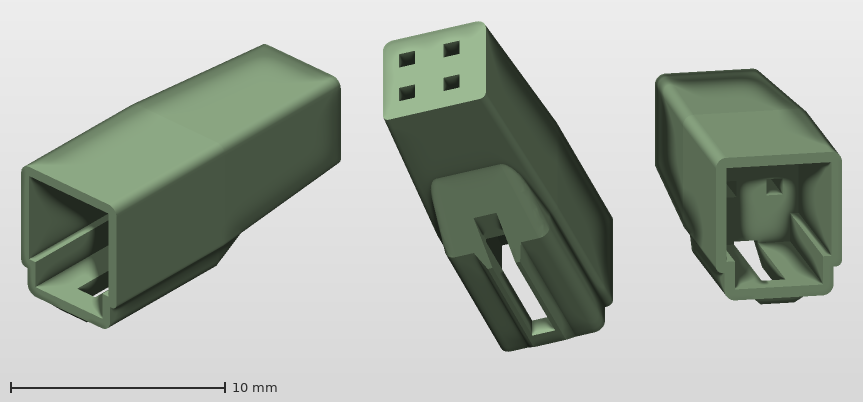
import cadquery as cq
import math

LENGTH = 16.05
STRAIGHT_LENGTH = 7.51
WALL = 0.5
FLOOR_WALL = 0.53

BODY_WIDTH = 6.0
BODY_HEIGHT = 5.57
TOP_RADIUS = WALL
BOTTOM_RADIUS = 0.3
CABLE_END_WIDTH = 5.1
CABLE_END_TOP_DROP = 0.4
CABLE_END_BOTTOM_RISE = 0.5

KEEL_WIDTH = 5.2
KEEL_BOTTOM = -6.93
KEEL_RADIUS = FLOOR_WALL
KEEL_OVERLAP = 3.21
TAIL_LENGTH = 4.82
TAIL_SLOPE = 22.0
TAIL_RISE = TAIL_LENGTH * math.tan(math.radians(TAIL_SLOPE))
TAIL_SIDE_DRAFT = 7.0

PAD_HEIGHT = 0.37
PAD_ROOT_WIDTH = 2.35
PAD_BOTTOM = KEEL_BOTTOM - PAD_HEIGHT

SLOT_WIDTH = 1.14
SLOT_START = 1.2
SLOT_TOP = -6.26

HOLE_SIZE = 0.79
HOLE_PITCH_X = 2.2
HOLE_PITCH_Z = 2.0
HOLE_GROUP_X = 0.25
HOLE_GROUP_Z = -2.71


def section(y, width, bottom, top, bottom_radius, top_radius):
    """Closed cross-section at y, centred on X, with rounded corners (a zero radius is sharp)."""
    half = width / 2
    diagonal = 1 - math.sqrt(0.5)
    low = bottom_radius * diagonal
    high = top_radius * diagonal
    outline = cq.Workplane(cq.Plane((0, y, 0), (1, 0, 0), (0, -1, 0)))
    outline = (
        outline.moveTo(bottom_radius - half, bottom)
        .lineTo(half - bottom_radius, bottom)
        .threePointArc((half - low, bottom + low), (half, bottom + bottom_radius))
        .lineTo(half, top - top_radius)
    )
    if top_radius > 0:
        outline = outline.threePointArc((half - high, top - high), (half - top_radius, top))
    outline = outline.lineTo(top_radius - half, top)
    if top_radius > 0:
        outline = outline.threePointArc((high - half, top - high), (-half, top - top_radius))
    outline = outline.lineTo(-half, bottom + bottom_radius)
    outline = outline.threePointArc((low - half, bottom + low), (bottom_radius - half, bottom))
    return outline.close().wire().val()


def join_sections(first, second):
    """Solid with straight sides between two cross-sections."""
    return cq.Workplane(cq.Solid.makeLoft([first, second], True))


def box(width, y_start, y_end, bottom, top, x=0.0):
    """Box centred on x in X, between the given Y and Z limits."""
    return (
        cq.Workplane()
        .box(width, y_end - y_start, top - bottom, centered=(True, False, False))
        .translate((x, y_start, bottom))
    )


def make_body():
    def body_section(y, width, bottom, top):
        return section(y, width, bottom, top, BOTTOM_RADIUS, TOP_RADIUS)

    mating_end = body_section(0, BODY_WIDTH, -BODY_HEIGHT, 0)
    taper_start = body_section(STRAIGHT_LENGTH, BODY_WIDTH, -BODY_HEIGHT, 0)
    cable_end = body_section(
        LENGTH, CABLE_END_WIDTH, CABLE_END_BOTTOM_RISE - BODY_HEIGHT, -CABLE_END_TOP_DROP
    )
    return join_sections(mating_end, taper_start).union(join_sections(taper_start, cable_end))


def make_keel():
    def keel_section(y, width, bottom):
        return section(y, width, bottom, bottom + KEEL_OVERLAP, KEEL_RADIUS, 0)

    tail_width = KEEL_WIDTH - 2 * TAIL_LENGTH * math.tan(math.radians(TAIL_SIDE_DRAFT))
    mating_end = keel_section(0, KEEL_WIDTH, KEEL_BOTTOM)
    tail_start = keel_section(STRAIGHT_LENGTH, KEEL_WIDTH, KEEL_BOTTOM)
    tail_end = keel_section(STRAIGHT_LENGTH + TAIL_LENGTH, tail_width, KEEL_BOTTOM + TAIL_RISE)
    return join_sections(mating_end, tail_start).union(join_sections(tail_start, tail_end))


def make_latch_pad():
    """Pad with 45 degree front and sides, and a rear ramp in line with the keel tail."""
    ramp_length = PAD_HEIGHT * TAIL_LENGTH / TAIL_RISE
    root = KEEL_BOTTOM + FLOOR_WALL / 2
    half_root = PAD_ROOT_WIDTH / 2
    half_bottom = half_root - PAD_HEIGHT
    side_profile = (
        cq.Workplane("YZ")
        .polyline([
            (0, root),
            (0, KEEL_BOTTOM),
            (PAD_HEIGHT, PAD_BOTTOM),
            (STRAIGHT_LENGTH - ramp_length, PAD_BOTTOM),
            (STRAIGHT_LENGTH, KEEL_BOTTOM),
            (STRAIGHT_LENGTH, root),
        ])
        .close()
        .extrude(half_root, both=True)
    )
    cross_profile = (
        cq.Workplane("XZ")
        .polyline([
            (-half_root, root),
            (-half_root, KEEL_BOTTOM),
            (-half_bottom, PAD_BOTTOM),
            (half_bottom, PAD_BOTTOM),
            (half_root, KEEL_BOTTOM),
            (half_root, root),
        ])
        .close()
        .extrude(-STRAIGHT_LENGTH)
    )
    return side_profile.intersect(cross_profile)


def make_cavity():
    """Stepped mating cavity, closed where the body starts to taper."""
    ledge = FLOOR_WALL - BODY_HEIGHT
    upper = box(BODY_WIDTH - 2 * WALL, 0, STRAIGHT_LENGTH, ledge, -WALL)
    lower = box(KEEL_WIDTH - 2 * WALL, 0, STRAIGHT_LENGTH, KEEL_BOTTOM + FLOOR_WALL, -WALL)
    return upper.union(lower)


def make_slot():
    """Slot that leaves through the sloping underside of the keel tail."""
    return box(SLOT_WIDTH, SLOT_START, STRAIGHT_LENGTH + TAIL_LENGTH, PAD_BOTTOM, SLOT_TOP)


def make_contact_holes():
    """Two by two square passages running the full length."""
    holes = cq.Workplane()
    for column in (-0.5, 0.5):
        for row in (-0.5, 0.5):
            x = HOLE_GROUP_X + column * HOLE_PITCH_X
            z = HOLE_GROUP_Z + row * HOLE_PITCH_Z
            holes = holes.add(box(HOLE_SIZE, 0, LENGTH, z - HOLE_SIZE / 2, z + HOLE_SIZE / 2, x))
    return holes.combine()


shell = make_body().union(make_keel()).union(make_latch_pad())
result = shell.cut(make_cavity()).cut(make_slot()).cut(make_contact_holes())